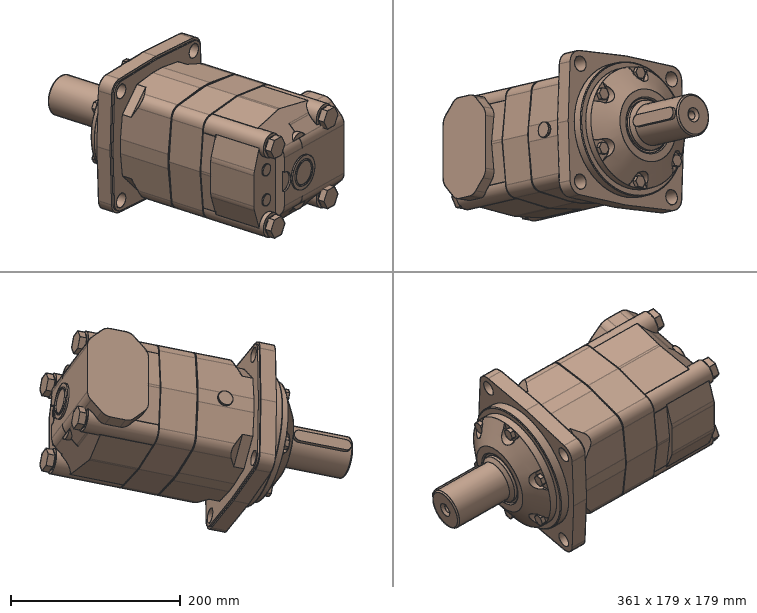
import cadquery as cq
import math


COVER_FACE_X = 82.3
CONE_BASE_X = 100.7
PILOT_X = 110.0
FLANGE_X = 122.0
FLANGE_BACK_X = 141.5
PAD_BACK_X = 143.5
GEAR_X = 214.8
END_COVER_X = 261.7
BOSS_END_X = 350.5
REAR_X = 357.5
OVERALL_LENGTH = 361.0

CROWN = 72.2
HOUSING_CROWN_FLAT = 9.5
COVER_CROWN_FLAT = 1.5
BOLT_OFFSET = 51.5
CORNER_RADIUS = 15.0
JOINT_CHAMFER = 0.7

NOSE_RADIUS = 72.5
NOSE_FACE_RADIUS = 43.5
PILOT_RADIUS = 80.0
PILOT_CHAMFER = 1.0
FLANGE_CROWN = 89.5
FLANGE_HOLE_OFFSET = 70.8
FLANGE_HOLE_DIAMETER = 18.0
FLANGE_CORNER_RADIUS = 16.0
PAD_STEP = 3.0
RELIEF_DISTANCE = 76.5
RELIEF_FLAT_END_X = 156.5
RELIEF_TIP_X = 168.2

SCREW_COUNT = 6
SCREW_CIRCLE_RADIUS = 65.5
SCREW_ACROSS_FLATS = 13.0
SCREW_HEAD_HEIGHT = 5.5
POCKET_RADIUS = 11.2
POCKET_MOUTH_HALF = 14.8

PLUG_X = 181.2
PLUG_HEAD_DIAMETER = 18.5
PLUG_STEM_DIAMETER = 15.0
PLUG_HEAD_Y = 74.5
PLUG_TOP_Y = 77.3

SHAFT_RADIUS = 25.0
SHAFT_CHAMFER = 1.8
COLLAR_RADIUS = 30.0
COLLAR_X = 81.0
COLLAR_CONE_X = 77.0
SEAL_RECESS_RADIUS = 32.5
SEAL_RECESS_DEPTH = 2.0
SEAL_RECESS_CHAMFER = 1.5
CENTER_HOLE_DIAMETER = 10.0
CENTER_SINK_DIAMETER = 17.0
CENTER_HOLE_DEPTH = 21.5
KEY_START_X = 3.5
KEY_LENGTH = 72.2
KEY_WIDTH = 14.0
KEY_TOP_Y = 28.5

COVER_EDGE_POSITION = 48.7
COVER_EDGE_HALF_WIDTH = 66.8
SLANT_START_X = 323.0
SLANT_ROUND = 16.0
LUG_RADIUS = 13.5
LUG_CENTER_Z = 35.7
LUG_END_X = 352.7
STEP_X = 344.5
STEP_Y = 35.0
STEP_DISC_DIAMETER = 14.8
STEP_DISC_HEIGHT = 1.8
STEP_DISC_Y = 54.0
STEP_DISC_Z = 19.5
REAR_NOTCH_DIAMETER = 25.3
REAR_NOTCH_DEPTH = 2.5
PORT_PAD_X = 280.5
PORT_PAD_Y = 81.5
PORT_PAD_HALF_HEIGHT = 60.5
SIDE_PAD_Y = 77.0
SIDE_PAD_FLAT_HALF = 23.0
SIDE_PAD_HALF_HEIGHT = 52.0
SIDE_PAD_ROUND = 18.0
REAR_CAP_RADIUS = 21.5
REAR_CAP_END_X = 359.5
RING_RADIUS = 16.0
RING_HALF_WIDTH = 1.0

BOLT_ACROSS_FLATS = 24.0
BOLT_SHANK_DIAMETER = 16.0
BOLT_COLLAR_DIAMETER = 22.5
BOLT_COLLAR_LENGTH = 1.0
BOLT_HEAD_END_X = 360.5
BOLT_TIP_X = 187.7

DIAGONAL = math.sqrt(2)
SIDES = 4


def plane_at(x):
    """Workplane across the axis: local x is Y, local y is Z."""
    return cq.Workplane("YZ", origin=(x, 0, 0))


def cylinder(x_start, x_end, diameter, y=0, z=0):
    return plane_at(x_start).center(y, z).circle(diameter / 2).extrude(x_end - x_start)


def hexagon(x_start, x_end, across_flats, y, z):
    """Hexagonal head with two corners pointing along Y."""
    corner_diameter = across_flats / math.cos(math.pi / 6)
    return plane_at(x_start).center(y, z).polygon(6, corner_diameter).extrude(x_end - x_start)


def turned(profile):
    """Solid of revolution about the X axis from (x, radius) points."""
    return cq.Workplane("XY").polyline(profile).close().revolve(360, (0, 0, 0), (1, 0, 0))


def quarter_turn(point, turns):
    """Turn a point clockwise by a number of quarter turns."""
    u, v = point
    for _ in range(turns):
        u, v = v, -u
    return u, v


def rounded_square(x_start, x_end, crown, crown_flat, corner, radius):
    """Square prism with bulging sides that run tangent into round corners."""
    du = crown_flat - corner
    dv = crown - corner
    angle = math.atan2(dv, du) - math.acos(radius / math.hypot(du, dv))
    arc_u = corner + radius * math.cos(angle)
    arc_v = corner + radius * math.sin(angle)
    arc_middle = corner + radius / DIAGONAL
    outline = plane_at(x_start).moveTo(crown_flat, crown)
    for side in range(SIDES):
        outline = outline.lineTo(*quarter_turn((arc_u, arc_v), side))
        outline = outline.threePointArc(
            quarter_turn((arc_middle, arc_middle), side), quarter_turn((arc_v, arc_u), side)
        )
        outline = outline.lineTo(*quarter_turn((crown, crown_flat), side))
        if crown_flat > 0 and side < SIDES - 1:
            outline = outline.lineTo(*quarter_turn((crown, -crown_flat), side))
    return outline.close().extrude(x_end - x_start)


def corner_points(offset):
    return [(y, z) for y in (-offset, offset) for z in (-offset, offset)]


def bolt_holes(x_start, x_end):
    return plane_at(x_start).pushPoints(corner_points(BOLT_OFFSET)).circle(
        BOLT_SHANK_DIAMETER / 2).extrude(x_end - x_start)


def nose():
    return turned([
        (COVER_FACE_X, 0),
        (COVER_FACE_X, NOSE_FACE_RADIUS),
        (CONE_BASE_X, NOSE_RADIUS),
        (PILOT_X, NOSE_RADIUS),
        (PILOT_X, PILOT_RADIUS - PILOT_CHAMFER),
        (PILOT_X + PILOT_CHAMFER, PILOT_RADIUS),
        (FLANGE_X, PILOT_RADIUS),
        (FLANGE_X, 0),
    ])


def flange():
    plate = rounded_square(
        FLANGE_X, FLANGE_BACK_X, FLANGE_CROWN, 0, FLANGE_HOLE_OFFSET, FLANGE_CORNER_RADIUS)
    pad = rounded_square(
        FLANGE_BACK_X, PAD_BACK_X, FLANGE_CROWN - PAD_STEP, 0,
        FLANGE_HOLE_OFFSET, FLANGE_CORNER_RADIUS - PAD_STEP)
    holes = plane_at(FLANGE_X).pushPoints(corner_points(FLANGE_HOLE_OFFSET)).circle(
        FLANGE_HOLE_DIAMETER / 2).extrude(PAD_BACK_X - FLANGE_X)
    return plate.union(pad).cut(holes)


def corner_relief():
    """Cutter for one housing corner: a flat, then a slope running out at the corner."""
    corner_distance = BOLT_OFFSET * DIAGONAL + CORNER_RADIUS
    cutter = cq.Workplane("XY").polyline([
        (PAD_BACK_X, RELIEF_DISTANCE),
        (RELIEF_FLAT_END_X, RELIEF_DISTANCE),
        (RELIEF_TIP_X, corner_distance),
        (PAD_BACK_X, corner_distance),
    ]).close()
    return cutter.extrude(CROWN, both=True)


def body_block():
    block = rounded_square(
        PAD_BACK_X, GEAR_X, CROWN, HOUSING_CROWN_FLAT, BOLT_OFFSET, CORNER_RADIUS)
    block = block.faces(">X").edges().chamfer(JOINT_CHAMFER)
    for side in range(SIDES):
        block = block.cut(corner_relief().rotate((0, 0, 0), (1, 0, 0), 45 + 90 * side))
    return block


def screw_pocket():
    """Cutter for the pocket at the top of the nose, opening outward."""
    depth = CONE_BASE_X - COVER_FACE_X
    round_end = cylinder(COVER_FACE_X, CONE_BASE_X, 2 * POCKET_RADIUS, 0, SCREW_CIRCLE_RADIUS)
    mouth = plane_at(COVER_FACE_X).polyline([
        (-POCKET_RADIUS, SCREW_CIRCLE_RADIUS),
        (POCKET_RADIUS, SCREW_CIRCLE_RADIUS),
        (POCKET_MOUTH_HALF, NOSE_RADIUS),
        (-POCKET_MOUTH_HALF, NOSE_RADIUS),
    ]).close().extrude(depth)
    return round_end.union(mouth)


def drain_plug():
    side_plane = cq.Workplane("XZ", origin=(PLUG_X, 0, 0))
    stem = side_plane.workplane(offset=-PLUG_HEAD_Y).circle(PLUG_STEM_DIAMETER / 2).extrude(
        PLUG_HEAD_Y - BOLT_OFFSET)
    head = side_plane.workplane(offset=-PLUG_TOP_Y).circle(PLUG_HEAD_DIAMETER / 2).extrude(
        PLUG_TOP_Y - PLUG_HEAD_Y)
    return stem.union(head)


def seal_recess():
    bottom_x = COVER_FACE_X + SEAL_RECESS_DEPTH
    return turned([
        (COVER_FACE_X, 0),
        (COVER_FACE_X, SEAL_RECESS_RADIUS + SEAL_RECESS_CHAMFER),
        (COVER_FACE_X + SEAL_RECESS_CHAMFER, SEAL_RECESS_RADIUS),
        (bottom_x, SEAL_RECESS_RADIUS),
        (bottom_x, 0),
    ])


def make_housing():
    body = nose().union(flange()).union(body_block())
    for index in range(SCREW_COUNT):
        angle = 360 / SCREW_COUNT * index
        body = body.cut(screw_pocket().rotate((0, 0, 0), (1, 0, 0), angle))
    for index in range(SCREW_COUNT):
        angle = 2 * math.pi / SCREW_COUNT * index
        y = SCREW_CIRCLE_RADIUS * math.sin(angle)
        z = SCREW_CIRCLE_RADIUS * math.cos(angle)
        body = body.union(
            hexagon(CONE_BASE_X - SCREW_HEAD_HEIGHT, CONE_BASE_X, SCREW_ACROSS_FLATS, y, z))
    shaft_bore = cylinder(COVER_FACE_X, PAD_BACK_X, 2 * SHAFT_RADIUS)
    body = body.union(drain_plug()).cut(seal_recess()).cut(shaft_bore)
    return body.cut(bolt_holes(BOLT_TIP_X, GEAR_X))


def make_gear_ring():
    ring = rounded_square(GEAR_X, END_COVER_X, CROWN, 0, BOLT_OFFSET, CORNER_RADIUS)
    ring = ring.faces("<X or >X").edges().chamfer(JOINT_CHAMFER)
    return ring.cut(bolt_holes(GEAR_X, END_COVER_X))


def slanted_outline():
    """Side outline of the end cover: rear edges slanted at 45 degrees, then rounded."""
    slant_drop = REAR_X - SLANT_START_X
    rear_half = CROWN - slant_drop
    prism = cq.Workplane("XZ").polyline([
        (END_COVER_X, -CROWN),
        (SLANT_START_X, -CROWN),
        (REAR_X, -rear_half),
        (REAR_X, rear_half),
        (SLANT_START_X, CROWN),
        (END_COVER_X, CROWN),
    ]).close().extrude(CROWN, both=True)
    return prism.faces(">X").edges("|Y").fillet(SLANT_ROUND)


def rear_step():
    """Cutter that lowers the rear face on the -Y side."""
    return cq.Workplane("XY").box(
        REAR_X - STEP_X, CROWN - STEP_Y, 2 * CROWN, centered=(False, False, True)
    ).translate((STEP_X, -CROWN, 0))


def cover_core():
    section = [
        (-COVER_CROWN_FLAT, CROWN),
        (COVER_CROWN_FLAT, CROWN),
        (COVER_EDGE_POSITION, COVER_EDGE_HALF_WIDTH),
    ]
    side_start = (-COVER_EDGE_POSITION, COVER_EDGE_HALF_WIDTH)
    points = [quarter_turn(p, side) for side in range(SIDES) for p in [side_start] + section]
    core = plane_at(END_COVER_X).polyline(points).close().extrude(REAR_X - END_COVER_X)
    return core.intersect(slanted_outline()).cut(rear_step())


def port_pad():
    """Elongated octagonal pad on the +Y side with rounded corners."""
    half_length = (REAR_X - PORT_PAD_X) / 2
    corner_cut = half_length * (2 - DIAGONAL)
    pad = cq.Workplane("XZ", origin=((REAR_X + PORT_PAD_X) / 2, PORT_PAD_Y, 0))
    pad = pad.rect(2 * half_length, 2 * PORT_PAD_HALF_HEIGHT).extrude(PORT_PAD_Y)
    return pad.edges("|Y").chamfer(corner_cut).edges("|Y").fillet(SLANT_ROUND - 0.5)


def side_pad():
    """Pad on the -Y side: a flat middle with two slopes falling to the bosses."""
    pad = plane_at(PORT_PAD_X).polyline([
        (-BOLT_OFFSET, SIDE_PAD_HALF_HEIGHT),
        (-COVER_EDGE_HALF_WIDTH, SIDE_PAD_HALF_HEIGHT),
        (-SIDE_PAD_Y, SIDE_PAD_FLAT_HALF),
        (-SIDE_PAD_Y, -SIDE_PAD_FLAT_HALF),
        (-COVER_EDGE_HALF_WIDTH, -SIDE_PAD_HALF_HEIGHT),
        (-BOLT_OFFSET, -SIDE_PAD_HALF_HEIGHT),
    ]).close().extrude(STEP_X - PORT_PAD_X)
    return pad.faces("<Y").edges("|X").fillet(SIDE_PAD_ROUND)


def rear_cap():
    """Low disc on the rear face with a sharp-crested ring."""
    cap = cylinder(REAR_X, REAR_CAP_END_X, 2 * REAR_CAP_RADIUS)
    ring = turned([
        (REAR_CAP_END_X, RING_RADIUS - RING_HALF_WIDTH),
        (OVERALL_LENGTH, RING_RADIUS),
        (REAR_CAP_END_X, RING_RADIUS + RING_HALF_WIDTH),
    ])
    return cap.union(ring)


def make_end_cover():
    cover = cover_core().union(port_pad()).union(side_pad())
    for y, z in corner_points(BOLT_OFFSET):
        cover = cover.union(cylinder(END_COVER_X, BOSS_END_X, 2 * CORNER_RADIUS, y, z))
    for z in (-LUG_CENTER_Z, LUG_CENTER_Z):
        cover = cover.union(cylinder(SLANT_START_X, LUG_END_X, 2 * LUG_RADIUS, 0, z))
    for z in (-STEP_DISC_Z, STEP_DISC_Z):
        cover = cover.union(
            cylinder(STEP_X, STEP_X + STEP_DISC_HEIGHT, STEP_DISC_DIAMETER, -STEP_DISC_Y, z))
    notch = cylinder(REAR_X - REAR_NOTCH_DEPTH, REAR_X, REAR_NOTCH_DIAMETER, -STEP_Y, 0)
    cover = cover.cut(notch).union(rear_cap())
    return cover.cut(bolt_holes(END_COVER_X, BOSS_END_X))


def make_shaft():
    collar_end_x = COVER_FACE_X + SEAL_RECESS_DEPTH
    shaft = turned([
        (0, 0),
        (0, SHAFT_RADIUS - SHAFT_CHAMFER),
        (SHAFT_CHAMFER, SHAFT_RADIUS),
        (COLLAR_CONE_X, SHAFT_RADIUS),
        (COLLAR_X, COLLAR_RADIUS),
        (collar_end_x, COLLAR_RADIUS),
        (collar_end_x, SHAFT_RADIUS),
        (PAD_BACK_X, SHAFT_RADIUS),
        (PAD_BACK_X, 0),
    ])
    sink_depth = (CENTER_SINK_DIAMETER - CENTER_HOLE_DIAMETER) / 2
    center_hole = turned([
        (0, 0),
        (0, CENTER_SINK_DIAMETER / 2),
        (sink_depth, CENTER_HOLE_DIAMETER / 2),
        (CENTER_HOLE_DEPTH, CENTER_HOLE_DIAMETER / 2),
        (CENTER_HOLE_DEPTH + CENTER_HOLE_DIAMETER / 2, 0),
    ])
    key = cq.Workplane("XZ", origin=(KEY_START_X + KEY_LENGTH / 2, KEY_TOP_Y, 0)).slot2D(
        KEY_LENGTH, KEY_WIDTH).extrude(KEY_TOP_Y - SHAFT_RADIUS / 2)
    return shaft.cut(center_hole).union(key)


def make_bolt(y, z):
    head_x = BOSS_END_X + BOLT_COLLAR_LENGTH
    shank = cylinder(BOLT_TIP_X, head_x, BOLT_SHANK_DIAMETER, y, z)
    collar = cylinder(BOSS_END_X, head_x, BOLT_COLLAR_DIAMETER, y, z)
    return shank.union(collar).union(hexagon(head_x, BOLT_HEAD_END_X, BOLT_ACROSS_FLATS, y, z))


housing = make_housing()
gear_ring = make_gear_ring()
end_cover = make_end_cover()
shaft = make_shaft()
bolts = [make_bolt(y, z) for y, z in corner_points(BOLT_OFFSET)]

result = cq.Compound.makeCompound([
    housing.val(),
    gear_ring.val(),
    end_cover.val(),
    shaft.val(),
    *[bolt.val() for bolt in bolts],
])